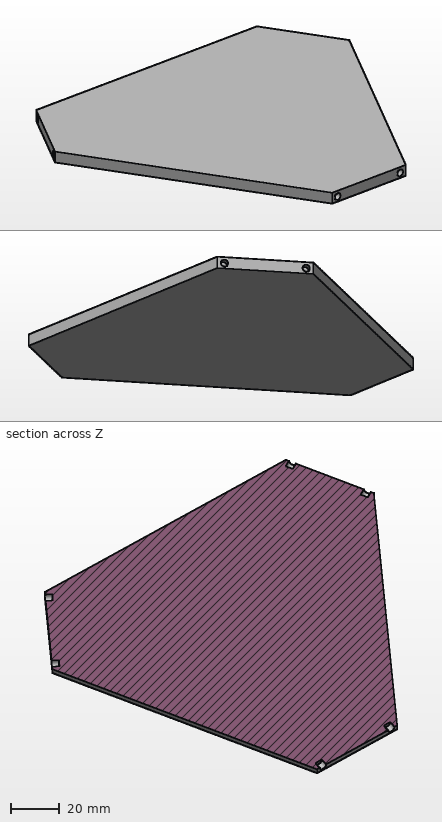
import cadquery as cq
import math

LONG_SIDE = 120.0
SHORT_SIDE = 40.0
THICKNESS = 5.0

HOLE_DIAMETER = 3.0
HOLE_DEPTH = 3.0
HOLE_END_INSET = 3.0
HOLE_HEIGHT = 2.33

EDGE_COUNT = 3
EDGE_STEP = 360.0 / EDGE_COUNT
FIRST_EDGE_ANGLE = 90.0

FULL_SIDE = LONG_SIDE + 2 * SHORT_SIDE
CORNER_CUT_HEIGHT = SHORT_SIDE * math.sqrt(3) / 2
SHORT_EDGE_DISTANCE = FULL_SIDE / math.sqrt(3) - CORNER_CUT_HEIGHT


def edge_point(angle, along):
    """Point on the short edge facing `angle` degrees, `along` mm from its middle."""
    facing = math.radians(angle)
    x = SHORT_EDGE_DISTANCE * math.cos(facing) - along * math.sin(facing)
    y = SHORT_EDGE_DISTANCE * math.sin(facing) + along * math.cos(facing)
    return x, y


def make_plate(edge_angles):
    """Six-sided plate whose short edges face the given angles."""
    corners = []
    for angle in edge_angles:
        corners.append(edge_point(angle, -SHORT_SIDE / 2))
        corners.append(edge_point(angle, SHORT_SIDE / 2))
    return cq.Workplane("XY").polyline(corners).close().extrude(THICKNESS)


def make_edge_hole(angle, along):
    """Cylinder running inward, square to the short edge facing `angle`."""
    x, y = edge_point(angle, along)
    facing = math.radians(angle)
    start = cq.Vector(x, y, HOLE_HEIGHT)
    inward = cq.Vector(-math.cos(facing), -math.sin(facing), 0)
    return cq.Solid.makeCylinder(HOLE_DIAMETER / 2, HOLE_DEPTH, start, inward)


edge_angles = [FIRST_EDGE_ANGLE + i * EDGE_STEP for i in range(EDGE_COUNT)]
hole_offset = SHORT_SIDE / 2 - HOLE_END_INSET

result = make_plate(edge_angles)
for edge_angle in edge_angles:
    for side in (-1, 1):
        result = result.cut(make_edge_hole(edge_angle, side * hole_offset))